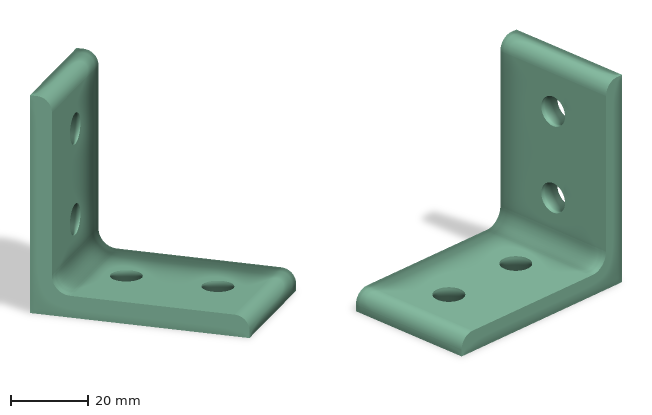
import cadquery as cq

leg_length = 60.0
width = 38.0
thickness = 6.0
toe_radius = 4.0
root_radius = 5.0

hole_diameter = 8.5
hole_distances = (20.0, 45.0)


def angle_body():
    """L-shaped section extruded along Y, with rounded toes and root."""
    profile = (
        cq.Workplane("XZ")
        .polyline([
            (0, 0),
            (leg_length, 0),
            (leg_length, thickness),
            (thickness, thickness),
            (thickness, leg_length),
            (0, leg_length),
        ])
        .close()
    )
    body = profile.extrude(width / 2, both=True)
    root_edge = cq.NearestToPointSelector((thickness, 0, thickness))
    body = body.edges("|Y").edges(root_edge).fillet(root_radius)
    for toe in ((leg_length, 0, thickness), (thickness, 0, leg_length)):
        body = body.edges("|Y").edges(cq.NearestToPointSelector(toe)).fillet(toe_radius)
    return body


def leg_holes(plane, centers):
    """Cutters running through a leg, starting at its outer face."""
    return cq.Workplane(plane).pushPoints(centers).circle(hole_diameter / 2).extrude(thickness)


base_holes = leg_holes("XY", [(distance, 0) for distance in hole_distances])
upright_holes = leg_holes("YZ", [(0, distance) for distance in hole_distances])

result = angle_body().cut(base_holes).cut(upright_holes)